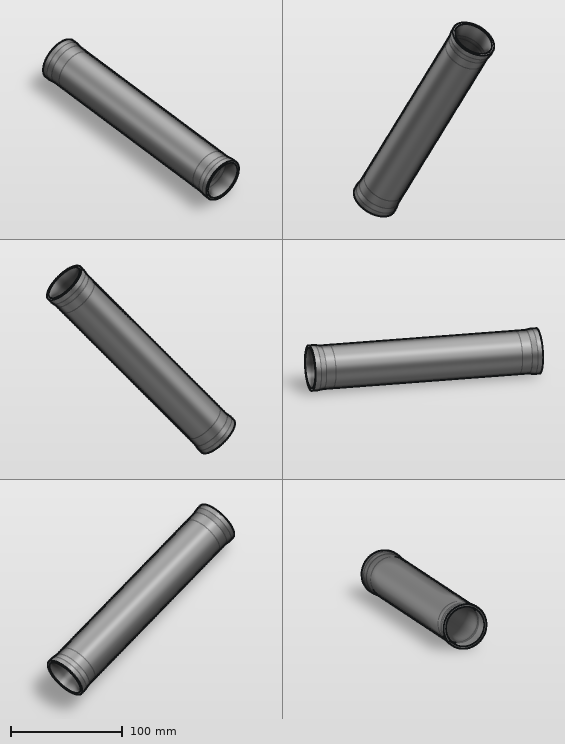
import cadquery as cq

LENGTH = 210.0
COLLAR_DIAMETER = 41.2
TUBE_DIAMETER = 39.5
COLLAR_LENGTH = 5.0
COLLAR_TAPER = 5.0

END_BORE_DIAMETER = 36.5
MIDDLE_BORE_DIAMETER = 38.0
END_BORE_LENGTH = 14.7
BORE_TAPER = 4.2


def stepped_rod(end_diameter, middle_diameter, end_length, taper_length):
    """Rod along X whose two ends taper conically to the middle diameter."""
    end_radius = end_diameter / 2
    middle_radius = middle_diameter / 2
    end_x = LENGTH / 2
    taper_start = end_x - end_length
    taper_end = taper_start - taper_length
    profile = (
        cq.Workplane("XZ")
        .moveTo(-end_x, 0)
        .lineTo(-end_x, end_radius)
        .lineTo(-taper_start, end_radius)
        .lineTo(-taper_end, middle_radius)
        .lineTo(taper_end, middle_radius)
        .lineTo(taper_start, end_radius)
        .lineTo(end_x, end_radius)
        .lineTo(end_x, 0)
        .close()
    )
    return profile.revolve(360, (0, 0), (1, 0))


outer_body = stepped_rod(COLLAR_DIAMETER, TUBE_DIAMETER, COLLAR_LENGTH, COLLAR_TAPER)
bore = stepped_rod(END_BORE_DIAMETER, MIDDLE_BORE_DIAMETER, END_BORE_LENGTH, BORE_TAPER)

result = outer_body.cut(bore)